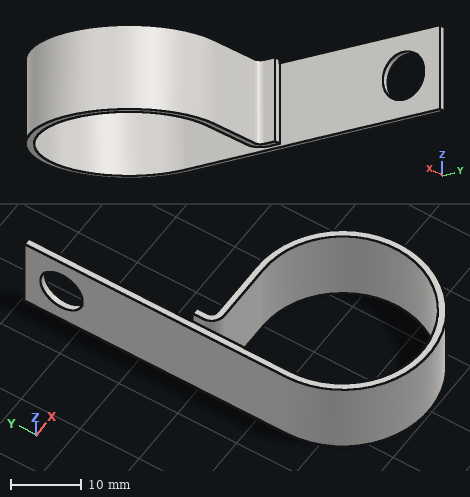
import cadquery as cq
import math

thickness = 1.219
width = 12.7

outer_radius = 14.707
inner_radius = outer_radius - thickness
loop_middle_angle = -45

tail_length = 44.45
hole_diameter = 7.14
hole_end_distance = 6.35

lip_gap = 1.22
lip_height = 2.8
bend_inner_radius = 0.9
bend_outer_radius = bend_inner_radius + thickness
bend_middle_angle = 225


def arc_middle(center_x, center_y, radius, angle_degrees):
    """Point on a circle, used as the middle point of an arc."""
    angle = math.radians(angle_degrees)
    return (center_x + radius * math.cos(angle), center_y + radius * math.sin(angle))


def make_strip():
    """Bent strip: tail, three-quarter loop, short flat and upturned lip."""
    lip_left = -inner_radius + lip_gap
    lip_right = lip_left + thickness
    lip_top = outer_radius + lip_height
    bend_x = lip_left + bend_outer_radius
    bend_y = inner_radius + bend_outer_radius
    return (
        cq.Workplane("XY")
        .moveTo(-outer_radius, tail_length)
        .lineTo(-outer_radius, 0)
        .threePointArc(arc_middle(0, 0, outer_radius, loop_middle_angle), (0, outer_radius))
        .lineTo(bend_x, outer_radius)
        .threePointArc(
            arc_middle(bend_x, bend_y, bend_inner_radius, bend_middle_angle), (lip_right, bend_y)
        )
        .lineTo(lip_right, lip_top)
        .lineTo(lip_left, lip_top)
        .lineTo(lip_left, bend_y)
        .threePointArc(
            arc_middle(bend_x, bend_y, bend_outer_radius, bend_middle_angle), (bend_x, inner_radius)
        )
        .lineTo(0, inner_radius)
        .threePointArc(arc_middle(0, 0, inner_radius, loop_middle_angle), (-inner_radius, 0))
        .lineTo(-inner_radius, tail_length)
        .close()
        .extrude(width / 2, both=True)
    )


def make_tail_hole():
    """Cutter for the mounting hole through the tail, along X."""
    hole_y = tail_length - hole_end_distance
    return (
        cq.Workplane("YZ", origin=(-outer_radius, hole_y, 0))
        .circle(hole_diameter / 2)
        .extrude(thickness)
    )


result = make_strip().cut(make_tail_hole())